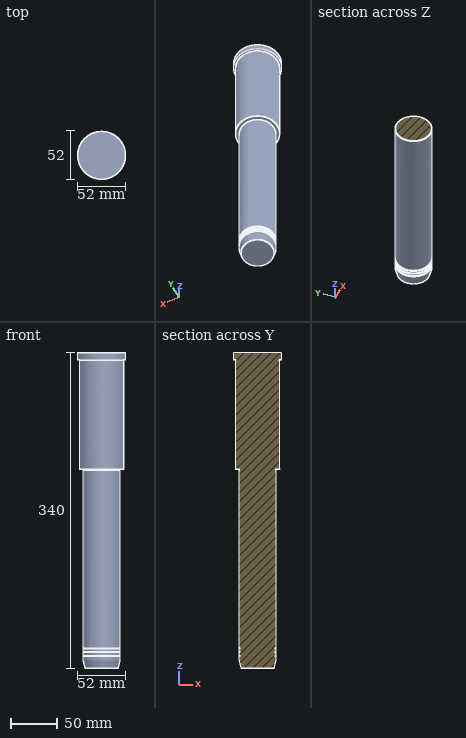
import cadquery as cq

total_length = 340.0
edge_chamfer = 0.5
flange_diameter = 52.0
flange_height = 8.0
sleeve_diameter = 48.0
sleeve_bottom_z = 214.0
shaft_diameter = 40.0

relief_width = 1.0
relief_depth = 0.5

nose_height = 8.0
tip_diameter = 36.0

groove_count = 3
groove_width = 1.0
groove_depth = 0.75
groove_pitch = 4.0
lowest_groove_z = 13.0

flange_radius = flange_diameter / 2
sleeve_radius = sleeve_diameter / 2
shaft_radius = shaft_diameter / 2
tip_radius = tip_diameter / 2
flange_bottom_z = total_length - flange_height


def make_body():
    """Stepped pin revolved about Z."""
    return (
        cq.Workplane("XZ")
        .moveTo(0, 0)
        .lineTo(-(tip_radius - edge_chamfer), 0)
        .lineTo(-tip_radius, edge_chamfer)
        .lineTo(-shaft_radius, nose_height)
        .lineTo(-shaft_radius, sleeve_bottom_z)
        .lineTo(-(sleeve_radius - edge_chamfer), sleeve_bottom_z)
        .lineTo(-sleeve_radius, sleeve_bottom_z + edge_chamfer)
        .lineTo(-sleeve_radius, flange_bottom_z)
        .lineTo(-flange_radius, flange_bottom_z)
        .lineTo(-flange_radius, total_length - edge_chamfer)
        .lineTo(-(flange_radius - edge_chamfer), total_length)
        .lineTo(0, total_length)
        .close()
        .revolve(360, (0, 0, 0), (0, 1, 0))
    )


def make_groove_ring(radius, depth, width, bottom_z):
    """Ring of material that cuts a square groove into a cylinder of the given radius."""
    return (
        cq.Workplane("XY")
        .workplane(offset=bottom_z)
        .circle(radius)
        .circle(radius - depth)
        .extrude(width)
    )


def cut_reliefs(body):
    """Undercut the sleeve below the flange and the shaft below the sleeve."""
    for radius, top_z in ((sleeve_radius, flange_bottom_z), (shaft_radius, sleeve_bottom_z)):
        body = body.cut(make_groove_ring(radius, relief_depth, relief_width, top_z - relief_width))
    return body


def cut_lubrication_grooves(body):
    """Cut the evenly spaced grooves above the nose."""
    for index in range(groove_count):
        bottom_z = lowest_groove_z + index * groove_pitch
        body = body.cut(make_groove_ring(shaft_radius, groove_depth, groove_width, bottom_z))
    return body


result = cut_lubrication_grooves(cut_reliefs(make_body()))